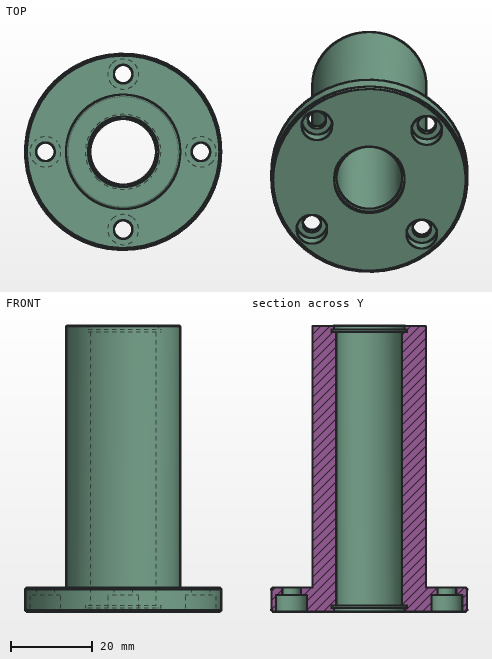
import cadquery as cq

length = 70.0
sleeve_diameter = 28.0
flange_diameter = 48.0
flange_thickness = 6.0
flange_chamfer = 0.5
sleeve_rim_radius = 0.5

bore_diameter = 16.0
lip_diameter = 17.2
lip_depth = 1.0
groove_diameter = 18.4
groove_width = 0.55

bolt_circle_diameter = 38.0
bolt_hole_count = 4
bolt_hole_diameter = 4.5
counterbore_diameter = 7.5
counterbore_depth = 4.1


def cylinder(diameter, height, base_z=0.0):
    return cq.Workplane("XY").workplane(offset=base_z).circle(diameter / 2).extrude(height)


flange = cylinder(flange_diameter, flange_thickness).edges().chamfer(flange_chamfer)
sleeve = cylinder(sleeve_diameter, length).faces(">Z").edges().fillet(sleeve_rim_radius)
body = flange.union(sleeve)

body = body.cut(cylinder(bore_diameter, length))
for lip_base in (0.0, length - lip_depth):
    body = body.cut(cylinder(lip_diameter, lip_depth, lip_base))
for groove_base in (lip_depth, length - lip_depth - groove_width):
    body = body.cut(cylinder(groove_diameter, groove_width, groove_base))

result = (
    body.faces("<Z")
    .workplane(origin=(0, 0, 0))
    .polarArray(bolt_circle_diameter / 2, 0, 360, bolt_hole_count)
    .cboreHole(bolt_hole_diameter, counterbore_diameter, counterbore_depth)
)